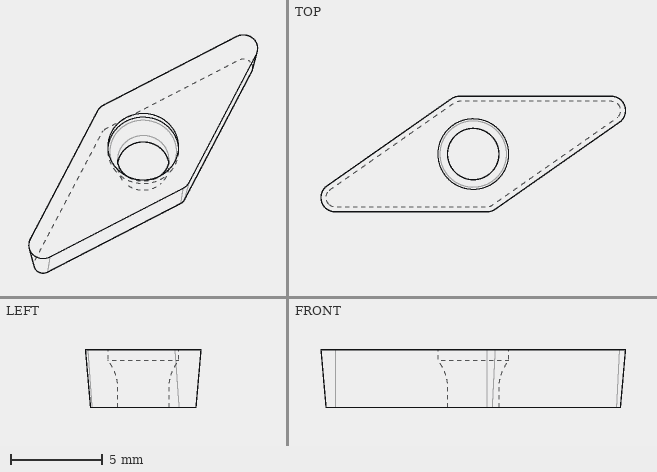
import cadquery as cq
import math

overall_length = 16.69
inscribed_diameter = 6.35
thickness = 3.17
corner_angle = 35.0
relief_angle = 5.0

bore_diameter = 2.8
recess_diameter = 3.87
recess_depth = 0.6
lead_in_depth = 0.17
seat_diameter = 3.64
seat_radius = 2.34

half_width = inscribed_diameter / 2
half_angle = math.radians(corner_angle / 2)
acute_x = half_width / math.tan(half_angle)
obtuse_x = half_width * math.tan(half_angle)

corner_radius = (acute_x - overall_length / 2) / (1 / math.tan(half_angle) - 1)


def insert_body():
    """Rounded rhombus, largest at the top face and narrowing downward by the relief angle."""
    corners = [
        (acute_x, half_width),
        (-obtuse_x, half_width),
        (-acute_x, -half_width),
        (obtuse_x, -half_width),
    ]
    top_outline = (
        cq.Sketch().polygon(corners + corners[:1]).vertices().fillet(corner_radius)
    )
    return (
        cq.Workplane("XY", origin=(0, 0, thickness))
        .placeSketch(top_outline)
        .extrude(-thickness, taper=relief_angle)
    )


def screw_hole():
    """Revolved cutter whose seat curves inward until it is tangent to the bore."""
    bore_radius = bore_diameter / 2
    recess_radius = recess_diameter / 2
    seat_top_radius = seat_diameter / 2
    recess_bottom = thickness - recess_depth
    seat_top = recess_bottom - lead_in_depth
    arc_center_x = bore_radius + seat_radius
    seat_drop = math.sqrt(seat_radius**2 - (arc_center_x - seat_top_radius) ** 2)
    seat_bottom = seat_top - seat_drop
    middle_angle = math.atan2(seat_drop, arc_center_x - seat_top_radius) / 2
    seat_middle = (
        arc_center_x - seat_radius * math.cos(middle_angle),
        seat_bottom + seat_radius * math.sin(middle_angle),
    )
    return (
        cq.Workplane("XZ")
        .moveTo(0, 0)
        .lineTo(bore_radius, 0)
        .lineTo(bore_radius, seat_bottom)
        .threePointArc(seat_middle, (seat_top_radius, seat_top))
        .lineTo(recess_radius, recess_bottom)
        .lineTo(recess_radius, thickness)
        .lineTo(0, thickness)
        .close()
        .revolve(360, (0, 0), (0, 1))
    )


result = insert_body().cut(screw_hole())